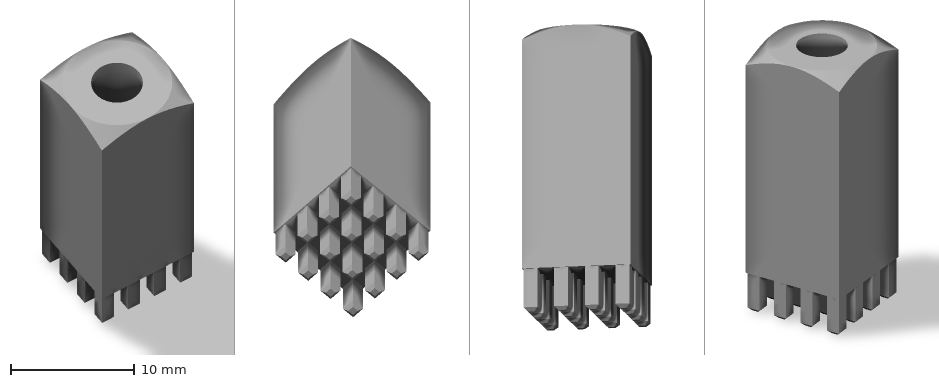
import cadquery as cq
import math

body_side = 9.0
body_height = 20.0

top_face_diameter = 8.95
bevel_angle = 30.0

hole_diameter = 4.2
hole_depth = 12.0
drill_point_angle = 118.0

pins_per_side = 4
pin_pitch = 2.54
pin_side = 1.15
pin_length = 3.5
pin_tip_chamfer = 0.3


def cone_envelope():
    """Solid of revolution that keeps everything under the conical bevel."""
    top_radius = top_face_diameter / 2
    outer_radius = body_side
    bevel_drop = (outer_radius - top_radius) * math.tan(math.radians(bevel_angle))
    return (
        cq.Workplane("XZ")
        .moveTo(0, 0)
        .lineTo(outer_radius, 0)
        .lineTo(outer_radius, body_height - bevel_drop)
        .lineTo(top_radius, body_height)
        .lineTo(0, body_height)
        .close()
        .revolve(360, (0, 0, 0), (0, 1, 0))
    )


def drilled_hole():
    """Cylinder with a conical drill point, opening at the top face."""
    radius = hole_diameter / 2
    point_depth = radius / math.tan(math.radians(drill_point_angle / 2))
    wall_bottom = body_height - hole_depth
    return (
        cq.Workplane("XZ")
        .moveTo(0, wall_bottom - point_depth)
        .lineTo(radius, wall_bottom)
        .lineTo(radius, body_height)
        .lineTo(0, body_height)
        .close()
        .revolve(360, (0, 0, 0), (0, 1, 0))
    )


def pin_grid():
    """Square grid of pins hanging below the body, each with a tapered tip."""
    return (
        cq.Workplane("XY")
        .rarray(pin_pitch, pin_pitch, pins_per_side, pins_per_side)
        .rect(pin_side, pin_side)
        .extrude(-pin_length)
        .faces("<Z")
        .chamfer(pin_tip_chamfer)
    )


block = cq.Workplane("XY").rect(body_side, body_side).extrude(body_height)
body = block.intersect(cone_envelope()).cut(drilled_hole())
result = body.union(pin_grid())